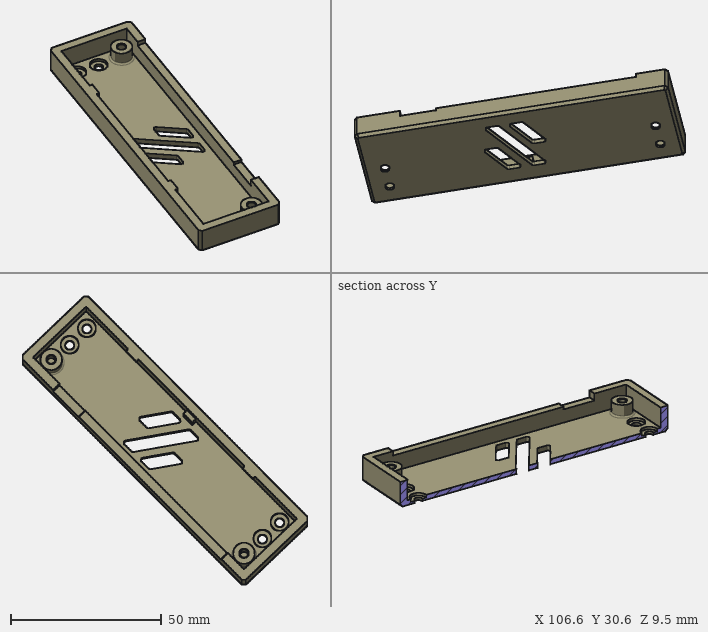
import cadquery as cq

LENGTH = 106.6
WIDTH = 30.6
HEIGHT = 9.5
WALL = 3.0
FLOOR = 2.0
EDGE_CHAMFER = 1.0
CAVITY_LENGTH = LENGTH - 2 * WALL
CAVITY_WIDTH = WIDTH - 2 * WALL
CAVITY_FRONT = -CAVITY_WIDTH / 2
CAVITY_REAR = CAVITY_WIDTH / 2

POST_DIAMETER = 7.2
POST_HEIGHT = 4.5
POST_FILLET = 0.6
POST_HOLE_DIAMETER = 2.75
POST_HOLE_CHAMFER = 0.25
POST_X = 46.0
POST_Y = CAVITY_REAR - POST_DIAMETER / 2 - POST_FILLET
POST_TOP = FLOOR + POST_HEIGHT

SCREW_DIAMETER = 3.0
HEAD_DIAMETER = 6.0
HEAD_DEPTH = 1.0
SCREW_X = POST_X
SCREW_YS = (-0.5, -8.5)

NOTCH_LEFT = -42.5
NOTCH_STEP = 25.5
NOTCH_RIGHT = 37.7
SHALLOW_NOTCH_DEPTH = 1.6
DEEP_NOTCH_DEPTH = 2.6

TAB_LENGTH = 5.0
TAB_REACH = 1.0
TAB_HEIGHT = 1.0
TAB_X = 27.8

SUPPORT_LENGTH = 4.2
SUPPORT_REACH = 1.7

WINDOW_WIDTH = 5.2
WINDOW_FRONT = -9.1
WINDOW_REAR = 10.1
WINDOW_LONG_SPAN = WINDOW_REAR - WINDOW_FRONT
WINDOW_SHORT_SPAN = 9.9
WINDOW_LEAN = 0.675
WINDOW_FILLET = 0.8
LONG_WINDOW_LEFT = -7.7
LEFT_WINDOW_LEFT = -9.6
RIGHT_WINDOW_LEFT = 0.8


def box_between(x_range, y_range, z_range):
    """Axis-aligned box spanning the given (low, high) ranges."""
    sizes = [high - low for low, high in (x_range, y_range, z_range)]
    corner = (x_range[0], y_range[0], z_range[0])
    return cq.Workplane("XY").box(*sizes, centered=False).translate(corner)


def cylinders(points, diameter, bottom, height):
    """Upright cylinders of one size at the given XY points."""
    return cq.Workplane("XY", origin=(0, 0, bottom)).pushPoints(points).circle(diameter / 2).extrude(height)


def make_tray():
    """Open-topped tray with chamfered upright corners and bottom rim."""
    block = cq.Workplane("XY").box(LENGTH, WIDTH, HEIGHT, centered=(True, True, False))
    block = block.edges("|Z").chamfer(EDGE_CHAMFER)
    block = block.faces("<Z").chamfer(EDGE_CHAMFER)
    cavity = box_between(
        (-CAVITY_LENGTH / 2, CAVITY_LENGTH / 2), (CAVITY_FRONT, CAVITY_REAR), (FLOOR, HEIGHT)
    )
    return block.cut(cavity)


def make_post(x):
    """Post with a fillet flaring onto the floor and a chamfered screw hole ending at the floor."""
    post_radius = POST_DIAMETER / 2
    hole_radius = POST_HOLE_DIAMETER / 2
    profile = (
        cq.Workplane("XZ")
        .moveTo(hole_radius, FLOOR)
        .lineTo(post_radius + POST_FILLET, FLOOR)
        .radiusArc((post_radius, FLOOR + POST_FILLET), POST_FILLET)
        .lineTo(post_radius, POST_TOP)
        .lineTo(hole_radius + POST_HOLE_CHAMFER, POST_TOP)
        .lineTo(hole_radius, POST_TOP - POST_HOLE_CHAMFER)
        .close()
    )
    return profile.revolve(360, (0, 0, 0), (0, 1, 0)).translate((x, POST_Y, 0))


def make_tab(x):
    """Tab overhanging the cavity from the front wall, flush with the rim."""
    return box_between(
        (x - TAB_LENGTH / 2, x + TAB_LENGTH / 2),
        (CAVITY_FRONT, CAVITY_FRONT + TAB_REACH),
        (HEIGHT - TAB_HEIGHT, HEIGHT),
    )


def make_support():
    """Block standing on the floor against the front wall."""
    return box_between(
        (-SUPPORT_LENGTH / 2, SUPPORT_LENGTH / 2),
        (CAVITY_FRONT, CAVITY_FRONT + SUPPORT_REACH),
        (FLOOR, POST_TOP),
    )


def make_rear_notch(left, right, depth):
    """Cutter lowering the rear wall between two X positions."""
    return box_between((left, right), (CAVITY_REAR, WIDTH / 2), (HEIGHT - depth, HEIGHT))


def make_window(left, front, span):
    """Cutter for a slanted window; left is the X of its front-left corner before rounding."""
    lean = span * WINDOW_LEAN
    corners = [
        (left, front),
        (left + WINDOW_WIDTH, front),
        (left + WINDOW_WIDTH + lean, front + span),
        (left + lean, front + span),
    ]
    window = cq.Workplane("XY").polyline(corners).close().extrude(FLOOR)
    return window.edges("|Z").fillet(WINDOW_FILLET)


def cut_screw_holes(body):
    points = [(x, y) for x in (-SCREW_X, SCREW_X) for y in SCREW_YS]
    body = body.cut(cylinders(points, SCREW_DIAMETER, 0, FLOOR))
    return body.cut(cylinders(points, HEAD_DIAMETER, FLOOR - HEAD_DEPTH, HEAD_DEPTH))


def cut_windows(body):
    body = body.cut(make_window(LONG_WINDOW_LEFT, WINDOW_FRONT, WINDOW_LONG_SPAN))
    body = body.cut(make_window(LEFT_WINDOW_LEFT, WINDOW_REAR - WINDOW_SHORT_SPAN, WINDOW_SHORT_SPAN))
    return body.cut(make_window(RIGHT_WINDOW_LEFT, WINDOW_FRONT, WINDOW_SHORT_SPAN))


body = make_tray()
for side in (-1, 1):
    body = body.union(make_post(side * POST_X))
    body = body.union(make_tab(side * TAB_X))
body = body.union(make_support())
body = body.cut(make_rear_notch(NOTCH_LEFT, NOTCH_STEP, SHALLOW_NOTCH_DEPTH))
body = body.cut(make_rear_notch(NOTCH_STEP, NOTCH_RIGHT, DEEP_NOTCH_DEPTH))
body = cut_screw_holes(body)
result = cut_windows(body)